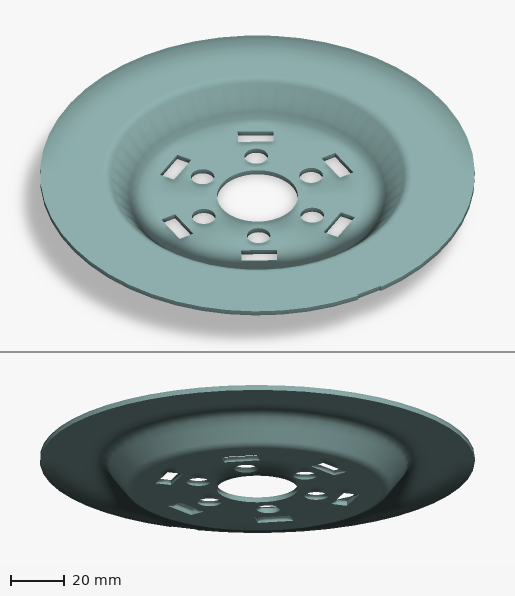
import cadquery as cq

outer_radius = 81.0
total_height = 12.8
sheet = 2.0

upper_mouth_radius = 56.0
upper_floor_radius = 46.7
lower_mouth_radius = 57.0
lower_floor_radius = 48.5
bend_radius = 3.9

selection_margin = 0.2

notch_width = 10.0
notch_depth = 0.8

bore_radius = 15.0
opening_count = 6
bolt_hole_radius = 4.4
bolt_circle_radius = 23.3
slot_length = 13.3
slot_width = 6.0
slot_circle_radius = 34.8


def make_dish():
    """Revolve the dished profile about Z and round its four circular bends."""
    rim_bottom = total_height - sheet
    lower_floor = (lower_floor_radius, 0)
    lower_mouth = (lower_mouth_radius, rim_bottom)
    upper_mouth = (upper_mouth_radius, total_height)
    upper_floor = (upper_floor_radius, sheet)
    profile = cq.Workplane("XZ").polyline(
        [
            (0, 0),
            lower_floor,
            lower_mouth,
            (outer_radius, rim_bottom),
            (outer_radius, total_height),
            upper_mouth,
            upper_floor,
            (0, sheet),
        ]
    ).close()
    dish = profile.revolve(360, (0, 0, 0), (0, 1, 0))
    for radius, height in (lower_floor, lower_mouth, upper_mouth, upper_floor):
        corner = cq.selectors.BoxSelector(
            (-radius - selection_margin, -radius - selection_margin, height - selection_margin),
            (radius + selection_margin, radius + selection_margin, height + selection_margin),
            boundingbox=True,
        )
        dish = dish.edges("%CIRCLE").edges(corner).fillet(bend_radius)
    return dish


def make_floor_openings():
    """Central bore with a ring of round holes and a ring of tangential slots."""
    openings = cq.Workplane("XY").circle(bore_radius).extrude(sheet)
    hole = (
        cq.Workplane("XY")
        .center(0, bolt_circle_radius)
        .circle(bolt_hole_radius)
        .extrude(sheet)
    )
    slot = (
        cq.Workplane("XY")
        .center(0, slot_circle_radius)
        .rect(slot_length, slot_width)
        .extrude(sheet)
    )
    for index in range(opening_count):
        turn = index * 360 / opening_count
        for opening in (hole, slot):
            openings = openings.union(opening.rotate((0, 0, 0), (0, 0, 1), turn))
    return openings


def make_rim_notch():
    """Straight-sided cutter for the shallow notch at the +X edge of the rim."""
    return (
        cq.Workplane("XY")
        .center(outer_radius, 0)
        .rect(2 * notch_depth, notch_width)
        .extrude(total_height)
    )


result = make_dish().cut(make_floor_openings()).cut(make_rim_notch())